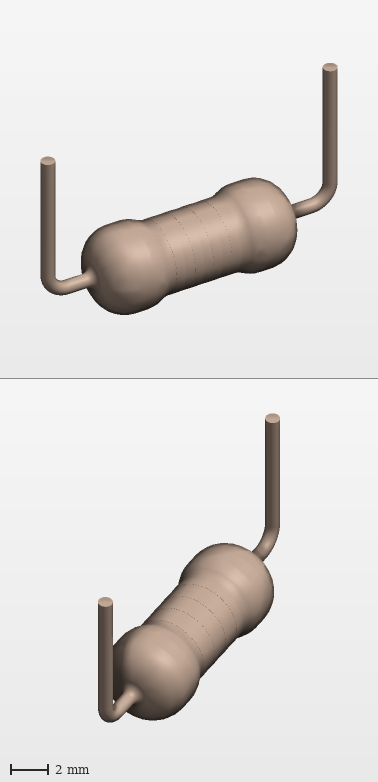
import cadquery as cq
import math

BODY_LENGTH = 12.0
CAP_RADIUS = 5.0 / 2
WAIST_RADIUS = 4.25 / 2
CAP_ROUNDING = 1.75
FLARE_RADIUS = 1.5

WAIST_LENGTH = 4.0
BAND_RADIUS = 4.27 / 2
STRIPE_COUNT = 7

WIRE_RADIUS = 0.8 / 2
LEAD_PITCH = 17.5
LEAD_TOP = 8.6
BEND_RADIUS = 1.2
NECK_FILLET = 0.5


def make_cap():
    """Revolved +Y end of the body: flare, rounded cap and fillet blending into the wire."""
    half_waist = WAIST_LENGTH / 2

    flare_rise = (CAP_RADIUS - WAIST_RADIUS) / 2
    flare_run = math.sqrt(FLARE_RADIUS**2 - (FLARE_RADIUS - flare_rise) ** 2)
    flare_mid = (WAIST_RADIUS + flare_rise, half_waist + flare_run)
    cap_inner = half_waist + 2 * flare_run

    round_r = CAP_RADIUS - CAP_ROUNDING
    round_y = BODY_LENGTH / 2 - CAP_ROUNDING

    neck_r = WIRE_RADIUS + NECK_FILLET
    centre_distance = CAP_ROUNDING + NECK_FILLET
    neck_angle = math.acos((neck_r - round_r) / centre_distance)
    neck_y = round_y + centre_distance * math.sin(neck_angle)

    def on_rounding(angle):
        return (
            round_r + CAP_ROUNDING * math.cos(angle),
            round_y + CAP_ROUNDING * math.sin(angle),
        )

    def on_neck(angle):
        return (
            neck_r - NECK_FILLET * math.cos(angle),
            neck_y - NECK_FILLET * math.sin(angle),
        )

    profile = (
        cq.Workplane("XY")
        .moveTo(0, half_waist)
        .lineTo(WAIST_RADIUS, half_waist)
        .radiusArc(flare_mid, FLARE_RADIUS)
        .radiusArc((CAP_RADIUS, cap_inner), -FLARE_RADIUS)
        .lineTo(CAP_RADIUS, round_y)
        .threePointArc(on_rounding(neck_angle / 2), on_rounding(neck_angle))
        .threePointArc(on_neck(neck_angle / 2), on_neck(0))
        .lineTo(0, neck_y)
        .close()
    )
    return profile.revolve(360, (0, 0, 0), (0, 1, 0))


def make_waist():
    """Cylindrical waist of equal stripes, every other one a slightly raised band."""
    stripe_width = WAIST_LENGTH / STRIPE_COUNT
    waist = cq.Workplane("XY")
    for index in range(STRIPE_COUNT):
        start = index * stripe_width - WAIST_LENGTH / 2
        is_band = index % 2 == 0
        stripe = (
            cq.Workplane("XZ", origin=(0, start, 0))
            .circle(BAND_RADIUS if is_band else WAIST_RADIUS)
            .extrude(-stripe_width)
        )
        waist = waist.union(stripe)
    return waist


def make_leads():
    """One continuous wire through the body, bent upward at both ends."""
    half_pitch = LEAD_PITCH / 2
    bend_start = half_pitch - BEND_RADIUS
    bend_mid = bend_start + BEND_RADIUS * math.sin(math.pi / 4)
    bend_mid_z = BEND_RADIUS * (1 - math.cos(math.pi / 4))

    path = (
        cq.Workplane("YZ")
        .moveTo(-half_pitch, LEAD_TOP)
        .lineTo(-half_pitch, BEND_RADIUS)
        .threePointArc((-bend_mid, bend_mid_z), (-bend_start, 0))
        .lineTo(bend_start, 0)
        .threePointArc((bend_mid, bend_mid_z), (half_pitch, BEND_RADIUS))
        .lineTo(half_pitch, LEAD_TOP)
    )
    return (
        cq.Workplane("XY", origin=(0, -half_pitch, LEAD_TOP))
        .circle(WIRE_RADIUS)
        .sweep(path)
    )


cap = make_cap()
body = make_waist().union(cap).union(cap.mirror("XZ"))
result = body.union(make_leads())